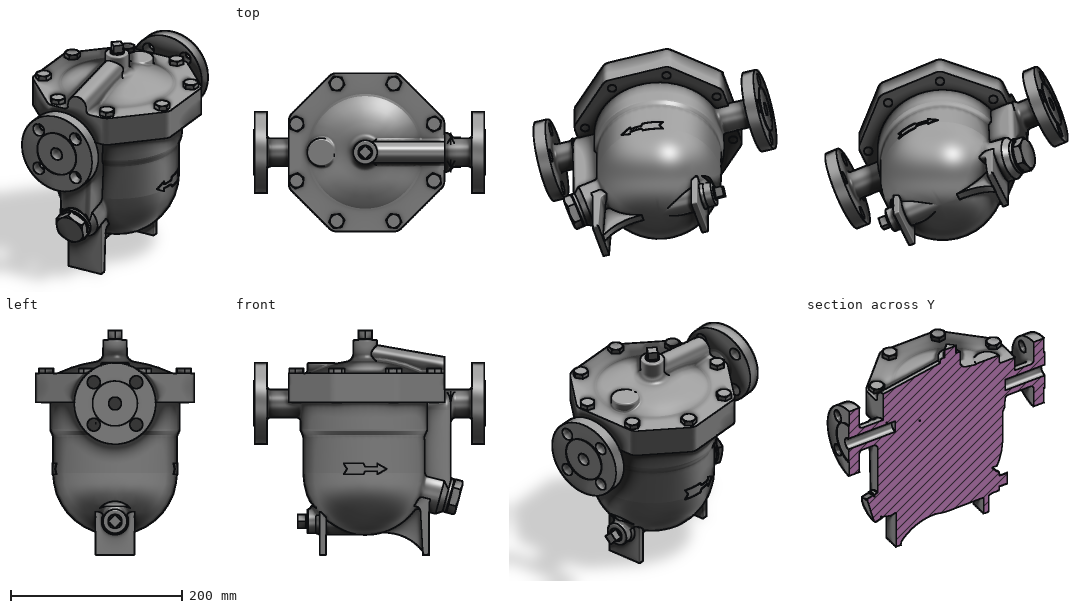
import cadquery as cq
import math


OVERLAP = 1.0

RIM_RADIUS = 75.75
VESSEL_RADIUS = 72.5
STEP_TOP = -31.2
STEP_BOTTOM = -38.0
STEP_FILLET = 5.0
BOWL_CENTRE = -81.0

OCTAGON_SIDES = 8
OCTAGON_ACROSS_FLATS = 185.0
OCTAGON_CORNER_RADIUS = 12.0
INLET_SIDE_TRIM = -89.2
FLANGE_BOTTOM = 1.2
JOINT_LEVEL = 18.8
COVER_TOP = 35.2

BOLT_COUNT = 8
BOLT_CIRCLE_RADIUS = 86.75
BOLT_HEAD_FLATS = 16.0
BOLT_HEAD_HEIGHT = 5.8
BOLT_HEAD_CHAMFER = 0.8
BOLT_DIAMETER = 10.0
BOLT_PROTRUSION = 0.6

DOME_RADIUS = 66.8
DOME_RISE = 15.2
DOME_FOOT_FILLET = 6.0

PLUG_BOSS_RADIUS = 14.0
PLUG_BOSS_FILLET = 2.0
TOP_BOSS_HEIGHT = 74.2
TOP_BOSS_FLARE = 9.5
PLUG_DIAGONAL = 16.2
PLUG_COLLAR = 1.5
PLUG_LENGTH = 10.9

VENT_RADIUS = 12.3
VENT_SLOPE = 10.0
VENT_AXIS_HEIGHT = 58.2
VENT_FOOT_FILLET = 5.0

BUMP_X = -51.1
BUMP_RADIUS = 16.5
BUMP_TOP = 47.4
BUMP_FILLET = 2.5
BUMP_FOOT_FILLET = 3.0

PIPE_RADIUS = 16.5
INLET_FACE = -130.0
OUTLET_FACE = 140.0
PIPE_FLANGE_DIAMETER = 95.0
PIPE_FLANGE_THICKNESS = 14.5
RAISED_FACE_DIAMETER = 52.5
RAISED_FACE_HEIGHT = 1.0
PIPE_FLANGE_FILLET = 4.0
PIPE_BOLT_CIRCLE = 70.0
PIPE_BOLT_HOLE = 15.0
PIPE_BOLT_COUNT = 4
BORE_DIAMETER = 15.0
INLET_FILLET = 4.0

DUCT_HALF_WIDTH = 23.0
DUCT_SHOULDER = -7.4
DUCT_DRAFT = 2.0
DUCT_FACE = 99.8
DUCT_FILLET = 6.0
DUCT_INNER = 40.0
DUCT_BOTTOM = -112.0

PORT_TILT = 15.0
PORT_RADIUS = 25.0
PORT_END_RADIUS = 20.0
PORT_FILLET = 5.0
PORT_SHOULDER = 91.5
PORT_NECK = 98.8
PORT_END = 102.5
PORT_HEX_START = 103.4
PORT_HEX_END = 113.3
PORT_HEX_FLATS = 35.0
PORT_HEX_CHAMFER = 1.5

DRAIN_Z = -137.5
DRAIN_RADIUS = 15.8
DRAIN_FACE = -67.8
DRAIN_NECK_END = -57.5
DRAIN_TAPER_END = -53.0
DRAIN_FILLET = 5.0

FOOT_BOTTOM = -177.0
FOOT_HALF_WIDTH = 22.9
FOOT_EDGE_FILLET = 1.6
INLET_FOOT_OUTER = -53.2
INLET_FOOT_INNER = -45.5
INLET_FOOT_TOP = -126.5
RIB_THICKNESS = 8.0
OUTLET_FOOT_INNER = 67.3
OUTLET_FOOT_OUTER = 74.5
PORT_FLARE_START = (OUTLET_FOOT_OUTER, -117.0)
PORT_FLARE_MID = (75.5, -114.0)
PORT_FLARE_END = (78.0, -111.8)
INSIDE_PORT = (70.0, -100.0)
INSIDE_BOWL = (50.0, -110.0)
BOWL_FLARE_END = (56.5, -120.0)
BOWL_FLARE_MID = (61.8, -121.2)
BOWL_FLARE_START = (64.5, -126.0)
RIB_ARCH_BOWL_END = (20.0, -151.0)
RIB_ARCH_MID = (48.8, -157.3)
RIB_ARCH_FOOT_END = (68.0, -173.7)

ARROW_RADIUS = 73.25
ARROW_CENTRE_Z = -76.4
ARROW_HALF_LENGTH = 25.2
ARROW_HALF_HEIGHT = 6.4
ARROW_NOTCH = 4.0
ARROW_TAIL_END = -2.0
ARROW_NECK_START = 0.0
ARROW_HEAD_START = 13.8
ARROW_SHAFT_HALF = 2.5


def along_x(start, end, radius, z=0.0):
    """Round bar parallel to X."""
    return cq.Workplane("YZ", origin=(start, 0, z)).circle(radius).extrude(end - start)


def make_vessel():
    bowl_bottom = BOWL_CENTRE - VESSEL_RADIUS
    bowl_mid = VESSEL_RADIUS * math.sqrt(0.5)
    vessel = (
        cq.Workplane("XZ")
        .moveTo(0, JOINT_LEVEL)
        .lineTo(RIM_RADIUS, JOINT_LEVEL)
        .lineTo(RIM_RADIUS, STEP_TOP)
        .lineTo(VESSEL_RADIUS, STEP_BOTTOM)
        .lineTo(VESSEL_RADIUS, BOWL_CENTRE)
        .threePointArc((bowl_mid, BOWL_CENTRE - bowl_mid), (0, bowl_bottom))
        .close()
        .revolve(360, (0, 0, 0), (0, 1, 0))
    )
    step_edges = cq.selectors.BoxSelector(
        (-RIM_RADIUS, -RIM_RADIUS, STEP_BOTTOM - OVERLAP),
        (RIM_RADIUS, RIM_RADIUS, STEP_TOP + OVERLAP),
    )
    return vessel.edges(step_edges).edges("%CIRCLE").fillet(STEP_FILLET)


def make_octagon(bottom, top):
    """Octagonal plate, trimmed on the inlet side and rounded at its corners."""
    half = OCTAGON_ACROSS_FLATS / 2
    across_corners = OCTAGON_ACROSS_FLATS / math.cos(math.pi / OCTAGON_SIDES)
    plate = (
        cq.Workplane("XY", origin=(0, 0, bottom))
        .polygon(OCTAGON_SIDES, across_corners)
        .extrude(top - bottom)
        .rotate((0, 0, 0), (0, 0, 1), 180 / OCTAGON_SIDES)
    )
    keep_length = half - INLET_SIDE_TRIM
    keep = (
        cq.Workplane("XY", origin=(INLET_SIDE_TRIM + keep_length / 2, 0, bottom))
        .rect(keep_length, OCTAGON_ACROSS_FLATS)
        .extrude(top - bottom)
    )
    return plate.intersect(keep).edges("|Z").fillet(OCTAGON_CORNER_RADIUS)


def make_bolt(index):
    """Cover bolt: a hexagon head above the cover and a tip just below the vessel flange."""
    angle = 360 / BOLT_COUNT * (index + 0.5)
    tip_bottom = FLANGE_BOTTOM - BOLT_PROTRUSION
    head = make_hexagon(BOLT_HEAD_FLATS, BOLT_HEAD_HEIGHT, BOLT_HEAD_CHAMFER)
    head = head.translate((BOLT_CIRCLE_RADIUS, 0, COVER_TOP))
    tip = (
        cq.Workplane("XY", origin=(BOLT_CIRCLE_RADIUS, 0, tip_bottom))
        .circle(BOLT_DIAMETER / 2)
        .extrude(JOINT_LEVEL - tip_bottom)
    )
    return head.union(tip).rotate((0, 0, 0), (0, 0, 1), angle)


def make_hexagon(across_flats, height, chamfer):
    """Upright hexagon, flats facing +Y and -Y, its top corners turned down by a 30-degree cone."""
    across_corners = across_flats / math.cos(math.pi / 6)
    corner = across_corners / 2
    hexagon = cq.Workplane("XY").polygon(6, across_corners).extrude(height)
    envelope = (
        cq.Workplane("XZ")
        .lineTo(corner, 0)
        .lineTo(corner, height - chamfer)
        .lineTo(corner - chamfer / math.tan(math.pi / 6), height)
        .lineTo(0, height)
        .close()
        .revolve(360, (0, 0, 0), (0, 1, 0))
    )
    return hexagon.intersect(envelope)


def make_plug():
    """Square-headed plug standing on z = 0, corners of the square on the X and Y axes."""
    collar = cq.Workplane("XY").circle(PLUG_DIAGONAL / 2).extrude(PLUG_COLLAR)
    head = cq.Workplane("XY").polygon(4, PLUG_DIAGONAL).extrude(PLUG_LENGTH)
    return collar.union(head)


def dome_sphere_radius():
    return (DOME_RADIUS ** 2 + DOME_RISE ** 2) / (2 * DOME_RISE)


def make_cover():
    """Upper octagon with the spherical dome, the bump, the vent duct and the top boss."""
    dome_apex = COVER_TOP + DOME_RISE
    sphere_radius = dome_sphere_radius()
    sphere_centre = dome_apex - sphere_radius
    dome_base = JOINT_LEVEL + OVERLAP
    dome_trim = cq.Workplane("XY", origin=(0, 0, dome_base)).circle(DOME_RADIUS).extrude(dome_apex - dome_base)
    dome = (
        cq.Workplane("XY", origin=(0, 0, sphere_centre))
        .sphere(sphere_radius)
        .intersect(dome_trim)
    )
    cover = make_octagon(JOINT_LEVEL, COVER_TOP).union(dome)
    dome_rim = cq.selectors.BoxSelector(
        (-DOME_RADIUS - 1, -DOME_RADIUS - 1, COVER_TOP - 0.1),
        (DOME_RADIUS + 1, DOME_RADIUS + 1, COVER_TOP + 0.1),
        boundingbox=True,
    )
    cover = cover.edges(dome_rim).fillet(DOME_FOOT_FILLET)

    cover = cover.union(make_vent())
    vent_foot = vent_foot_selector(1) + vent_foot_selector(-1)
    cover = cover.edges(vent_foot).fillet(VENT_FOOT_FILLET)
    return add_bump(cover).union(make_top_boss())


def vent_foot_selector(side):
    """Edges where the vent wall on the given side (+1 or -1 along Y) stands on the cover."""
    wall_y = side * VENT_RADIUS
    tolerance = 0.5
    return cq.selectors.BoxSelector(
        (PLUG_BOSS_RADIUS, wall_y - tolerance, COVER_TOP - tolerance),
        (OCTAGON_ACROSS_FLATS / 2 - tolerance, wall_y + tolerance, COVER_TOP + 0.8 * DOME_RISE),
    )


def add_bump(cover):
    """Add the round bump at the edge of the dome, blended at its foot and rounded on top."""
    bump = (
        cq.Workplane("XY", origin=(BUMP_X, 0, JOINT_LEVEL + OVERLAP))
        .circle(BUMP_RADIUS)
        .extrude(BUMP_TOP - JOINT_LEVEL - OVERLAP)
        .faces(">Z")
        .edges()
        .fillet(BUMP_FILLET)
    )
    reach = BUMP_RADIUS + 1
    around_foot = cq.selectors.BoxSelector(
        (BUMP_X - reach, -reach, COVER_TOP - 1),
        (BUMP_X + reach, reach, BUMP_TOP - 0.1),
    )
    cover = cover.union(bump)
    return cover.edges(around_foot).edges("%BSPLINE").fillet(BUMP_FOOT_FILLET)


def make_vent():
    """Sloping round-topped duct with upright walls, from the top boss to the outlet side."""
    outlet_side = OCTAGON_ACROSS_FLATS / 2
    base = JOINT_LEVEL + OVERLAP
    drop = outlet_side * math.tan(math.radians(VENT_SLOPE))
    walls = (
        cq.Workplane("XZ")
        .moveTo(0, base)
        .lineTo(outlet_side, base)
        .lineTo(outlet_side, VENT_AXIS_HEIGHT - drop)
        .lineTo(0, VENT_AXIS_HEIGHT)
        .close()
        .extrude(VENT_RADIUS, both=True)
    )
    round_top = (
        cq.Workplane("YZ")
        .circle(VENT_RADIUS)
        .extrude(2 * outlet_side)
        .rotate((0, 0, 0), (0, 1, 0), VENT_SLOPE)
        .translate((0, 0, VENT_AXIS_HEIGHT))
    )
    limit = (
        cq.Workplane("XY", origin=(outlet_side / 2, 0, base))
        .rect(outlet_side, OCTAGON_ACROSS_FLATS)
        .extrude(TOP_BOSS_HEIGHT)
    )
    return walls.union(round_top.intersect(limit))


def make_top_boss():
    """Boss flaring out of the dome apex, with its plug."""
    sphere_radius = dome_sphere_radius()
    sphere_centre = COVER_TOP + DOME_RISE - sphere_radius
    flare_centre_r = PLUG_BOSS_RADIUS + TOP_BOSS_FLARE
    flare_centre_z = sphere_centre + math.sqrt((sphere_radius + TOP_BOSS_FLARE) ** 2 - flare_centre_r ** 2)
    contact = sphere_radius / (sphere_radius + TOP_BOSS_FLARE)
    contact_r = flare_centre_r * contact
    contact_z = sphere_centre + (flare_centre_z - sphere_centre) * contact
    boss = (
        cq.Workplane("XZ")
        .moveTo(0, COVER_TOP)
        .lineTo(contact_r, COVER_TOP)
        .lineTo(contact_r, contact_z)
        .threePointArc(
            (
                flare_centre_r - TOP_BOSS_FLARE * math.sqrt(0.5),
                flare_centre_z - TOP_BOSS_FLARE * math.sqrt(0.5),
            ),
            (PLUG_BOSS_RADIUS, flare_centre_z),
        )
        .lineTo(PLUG_BOSS_RADIUS, TOP_BOSS_HEIGHT)
        .lineTo(0, TOP_BOSS_HEIGHT)
        .close()
        .revolve(360, (0, 0, 0), (0, 1, 0))
        .faces(">Z")
        .edges()
        .fillet(PLUG_BOSS_FILLET)
    )
    return boss.union(make_plug().translate((0, 0, TOP_BOSS_HEIGHT)))


def make_pipe_end(face, direction):
    """Flanged pipe reaching from the vessel axis to the given face; direction is +1 or -1 along X."""
    rim = abs(face) - RAISED_FACE_HEIGHT
    back = rim - PIPE_FLANGE_THICKNESS
    pipe = along_x(0, back + OVERLAP, PIPE_RADIUS)
    flange = along_x(back, rim, PIPE_FLANGE_DIAMETER / 2)
    raised = along_x(rim - OVERLAP, abs(face), RAISED_FACE_DIAMETER / 2)
    holes = (
        cq.Workplane("YZ", origin=(back, 0, 0))
        .polarArray(PIPE_BOLT_CIRCLE / 2, 45, 360, PIPE_BOLT_COUNT)
        .circle(PIPE_BOLT_HOLE / 2)
        .extrude(PIPE_FLANGE_THICKNESS)
    )
    end = pipe.union(flange).union(make_collar(back, -1, PIPE_FLANGE_FILLET)).union(raised).cut(holes)
    return end if direction > 0 else end.rotate((0, 0, 0), (0, 0, 1), 180)


def make_collar(face_x, direction, radius):
    """Concave fillet ring between the pipe and a face at face_x, spreading along X in direction."""
    tip_x = face_x + direction * radius
    inset = radius * (1 - math.sqrt(0.5))
    return (
        cq.Workplane("XY")
        .moveTo(face_x, 0)
        .lineTo(face_x, PIPE_RADIUS + radius)
        .threePointArc((face_x + direction * inset, PIPE_RADIUS + inset), (tip_x, PIPE_RADIUS))
        .lineTo(tip_x, 0)
        .close()
        .revolve(360, (0, 0, 0), (1, 0, 0))
    )


def tilt_to_port(shape):
    """Carry a shape built along +Z from the origin onto the port axis through the bowl centre."""
    return shape.rotate((0, 0, 0), (0, 1, 0), 90 + PORT_TILT).translate((0, 0, BOWL_CENTRE))


def make_duct():
    """Arched duct down the outlet side, its walls drawing in toward the port."""
    bottom_half = DUCT_HALF_WIDTH - (DUCT_SHOULDER - DUCT_BOTTOM) * math.tan(math.radians(DUCT_DRAFT))

    def arch(start, end):
        return (
            cq.Workplane("YZ", origin=(start, 0, 0))
            .moveTo(-bottom_half, DUCT_BOTTOM)
            .lineTo(bottom_half, DUCT_BOTTOM)
            .lineTo(DUCT_HALF_WIDTH, DUCT_SHOULDER)
            .threePointArc((0, DUCT_SHOULDER + DUCT_HALF_WIDTH), (-DUCT_HALF_WIDTH, DUCT_SHOULDER))
            .close()
            .extrude(end - start)
        )

    duct = arch(DUCT_INNER, DUCT_FACE).faces(">X").edges("not(<Z)").fillet(DUCT_FILLET)
    beyond_port = tilt_to_port(
        cq.Workplane("XY", origin=(0, 0, PORT_NECK)).circle(PORT_RADIUS * 2).extrude(PORT_RADIUS)
    )
    collar = make_collar(DUCT_FACE, 1, DUCT_FILLET)
    collar = collar.intersect(arch(DUCT_FACE, DUCT_FACE + DUCT_FILLET))
    return duct.cut(beyond_port).union(collar)


def make_port():
    """Radial valve seat port, flared onto the bowl and closed by a hexagon plug."""
    flare_r = PORT_RADIUS + PORT_FILLET
    flare_s = math.sqrt((VESSEL_RADIUS + PORT_FILLET) ** 2 - flare_r ** 2)
    contact = VESSEL_RADIUS / (VESSEL_RADIUS + PORT_FILLET)
    contact_r = flare_r * contact
    contact_s = flare_s * contact
    inset = PORT_FILLET * math.sqrt(0.5)
    inner = VESSEL_RADIUS / 2
    body = (
        cq.Workplane("XZ")
        .moveTo(0, inner)
        .lineTo(contact_r, inner)
        .lineTo(contact_r, contact_s)
        .threePointArc((flare_r - inset, flare_s - inset), (PORT_RADIUS, flare_s))
        .lineTo(PORT_RADIUS, PORT_SHOULDER)
        .lineTo(PORT_END_RADIUS, PORT_NECK)
        .lineTo(PORT_END_RADIUS, PORT_END)
        .lineTo(PORT_HEX_FLATS / 2, PORT_END)
        .lineTo(PORT_HEX_FLATS / 2, PORT_HEX_START)
        .lineTo(0, PORT_HEX_START)
        .close()
        .revolve(360, (0, 0, 0), (0, 1, 0))
    )
    plug = make_hexagon(PORT_HEX_FLATS, PORT_HEX_END - PORT_HEX_START, PORT_HEX_CHAMFER)
    return tilt_to_port(body.union(plug.translate((0, 0, PORT_HEX_START))))


def make_drain_facing(start):
    """Turned ring and disc removed from the drain neck to leave a flat end with a rounded, coned edge."""
    round_r = PLUG_BOSS_RADIUS - PLUG_BOSS_FILLET
    tangent = PLUG_BOSS_FILLET * math.sqrt(0.5)
    cone_start_x = DRAIN_FACE + PLUG_BOSS_FILLET - tangent
    cone_start_r = round_r + tangent
    round_mid_x = DRAIN_FACE + PLUG_BOSS_FILLET * (1 - math.cos(math.pi / 8))
    round_mid_r = round_r + PLUG_BOSS_FILLET * math.sin(math.pi / 8)
    reach = 2 * DRAIN_FILLET
    return (
        cq.Workplane("XZ", origin=(0, 0, DRAIN_Z))
        .moveTo(start - OVERLAP, 0)
        .lineTo(DRAIN_FACE, 0)
        .lineTo(DRAIN_FACE, round_r)
        .threePointArc((round_mid_x, round_mid_r), (cone_start_x, cone_start_r))
        .lineTo(cone_start_x + reach, cone_start_r + reach)
        .lineTo(start - OVERLAP, cone_start_r + reach)
        .close()
        .revolve(360, (0, 0, 0), (1, 0, 0))
    )


def add_drain(vessel):
    """Add the horizontal drain boss under the inlet, blended onto the bowl, with its plug."""
    neck_start = DRAIN_FACE - DRAIN_FILLET
    neck = along_x(neck_start, 0, PLUG_BOSS_RADIUS, DRAIN_Z)
    bowl_joint = cq.selectors.BoxSelector(
        (neck_start + OVERLAP, -PLUG_BOSS_RADIUS - 1, DRAIN_Z - PLUG_BOSS_RADIUS - 1),
        (OVERLAP, PLUG_BOSS_RADIUS + 1, DRAIN_Z + PLUG_BOSS_RADIUS + 1),
    )
    vessel = vessel.union(neck)
    vessel = vessel.edges(bowl_joint).edges("%BSPLINE").fillet(DRAIN_FILLET)
    vessel = vessel.cut(make_drain_facing(neck_start))
    passage = (
        cq.Workplane("XZ", origin=(0, 0, DRAIN_Z))
        .moveTo(DRAIN_NECK_END, 0)
        .lineTo(DRAIN_NECK_END, PLUG_BOSS_RADIUS)
        .lineTo(DRAIN_TAPER_END, DRAIN_RADIUS)
        .lineTo(0, DRAIN_RADIUS)
        .lineTo(0, 0)
        .close()
        .revolve(360, (0, 0, 0), (1, 0, 0))
    )
    plug = make_plug().rotate((0, 0, 0), (0, 1, 0), -90).translate((DRAIN_FACE, 0, DRAIN_Z))
    return vessel.union(passage).union(plug)


def make_inlet_foot():
    thickness = INLET_FOOT_INNER - INLET_FOOT_OUTER
    return (
        cq.Workplane("XY", origin=(INLET_FOOT_OUTER + thickness / 2, 0, FOOT_BOTTOM))
        .rect(thickness, 2 * FOOT_HALF_WIDTH)
        .extrude(INLET_FOOT_TOP - FOOT_BOTTOM)
        .edges("|Z or <Z")
        .fillet(FOOT_EDGE_FILLET)
    )


def make_outlet_foot():
    """Tapered plate under the port, tied to the bowl by an arched rib."""
    plate = (
        cq.Workplane("XZ")
        .moveTo(OUTLET_FOOT_INNER, FOOT_BOTTOM)
        .lineTo(OUTLET_FOOT_OUTER, FOOT_BOTTOM)
        .lineTo(*PORT_FLARE_START)
        .threePointArc(PORT_FLARE_MID, PORT_FLARE_END)
        .lineTo(*INSIDE_PORT)
        .lineTo(*INSIDE_BOWL)
        .lineTo(*BOWL_FLARE_END)
        .threePointArc(BOWL_FLARE_MID, BOWL_FLARE_START)
        .close()
        .extrude(FOOT_HALF_WIDTH, both=True)
    )
    plate = plate.faces("<Y or >Y").edges().fillet(FOOT_EDGE_FILLET)
    rib = (
        cq.Workplane("XZ")
        .moveTo(*RIB_ARCH_BOWL_END)
        .threePointArc(RIB_ARCH_MID, RIB_ARCH_FOOT_END)
        .lineTo(RIB_ARCH_FOOT_END[0], INSIDE_BOWL[1])
        .lineTo(RIB_ARCH_BOWL_END[0], INSIDE_BOWL[1])
        .close()
        .extrude(RIB_THICKNESS / 2, both=True)
    )
    return plate.union(rib)


def make_arrow():
    """Raised flow arrow pointing to +X, repeated on the front and back of the vessel."""
    upper = [
        (-ARROW_HALF_LENGTH + ARROW_NOTCH, 0),
        (-ARROW_HALF_LENGTH, ARROW_HALF_HEIGHT),
        (ARROW_TAIL_END, ARROW_HALF_HEIGHT),
        (ARROW_NECK_START, ARROW_SHAFT_HALF),
        (ARROW_HEAD_START, ARROW_SHAFT_HALF),
        (ARROW_HEAD_START, ARROW_HALF_HEIGHT),
        (ARROW_HALF_LENGTH, 0),
    ]
    lower = [(x, -z) for x, z in reversed(upper[1:-1])]
    outline = (
        cq.Workplane("XZ", origin=(0, 0, ARROW_CENTRE_Z))
        .polyline(upper + lower)
        .close()
        .extrude(RIM_RADIUS, both=True)
    )
    skin = (
        cq.Workplane("XY", origin=(0, 0, ARROW_CENTRE_Z - ARROW_HALF_HEIGHT))
        .circle(ARROW_RADIUS)
        .circle(VESSEL_RADIUS - OVERLAP)
        .extrude(2 * ARROW_HALF_HEIGHT)
    )
    return outline.intersect(skin)


def make_bore(face):
    """Blind pipe bore from the flange face to the vessel wall."""
    wall = math.copysign(RIM_RADIUS, face)
    return along_x(face, wall, BORE_DIAMETER / 2)


def add_inlet(vessel):
    """Add the inlet pipe end, blended onto the vessel wall."""
    vessel = vessel.union(make_pipe_end(INLET_FACE, -1))
    reach = PIPE_RADIUS + OVERLAP
    joint = cq.selectors.BoxSelector(
        (-RIM_RADIUS - OVERLAP, -reach, -reach),
        (-RIM_RADIUS + 2 * INLET_FILLET, reach, reach),
    )
    return vessel.edges(joint).fillet(INLET_FILLET)


def make_body():
    body = add_inlet(add_drain(make_vessel()))
    body = body.union(make_duct())
    body = body.union(make_pipe_end(OUTLET_FACE, 1))
    body = body.union(make_port())
    body = body.union(make_inlet_foot())
    body = body.union(make_outlet_foot())
    body = body.union(make_arrow())
    return body.union(make_octagon(FLANGE_BOTTOM, JOINT_LEVEL))


result = make_body().union(make_cover(), clean=False)
for bolt_index in range(BOLT_COUNT):
    result = result.union(make_bolt(bolt_index), clean=False)
for pipe_face in (INLET_FACE, OUTLET_FACE):
    result = result.cut(make_bore(pipe_face), clean=False)